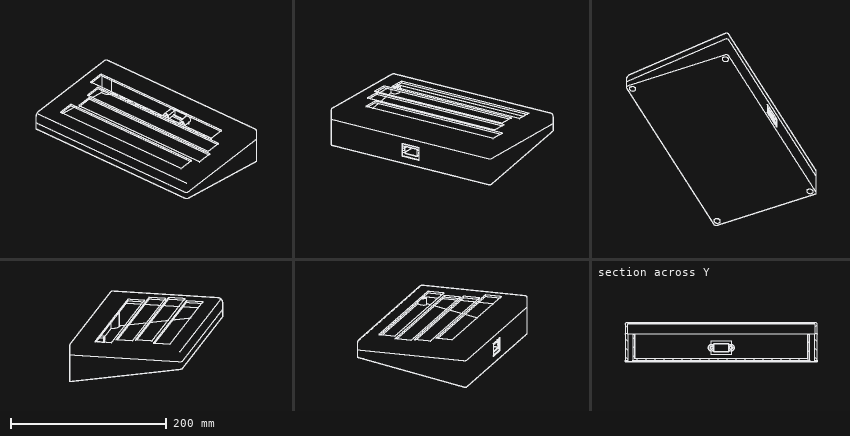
import cadquery as cq
import math

length = 247.5
depth = 148.5
height = 51.5
bottom_tilt = 10.0
lid_height = 15.3
wall = 3.0
floor_thickness = 3.0
top_thickness = 2.5
edge_radius = 3.0
front_radius = 7.0

slot_length = 197.0
slot_width = 21.8
slot_corners = [(-108.0, 22.0), (-93.8, -2.7), (-88.9, -27.2), (-98.8, -53.0)]

post_diameter = 12.4
post_inset = 6.7
post_hole_diameter = 8.0

window_width = 18.8
window_height = 10.0
window_below_top = 33.2
window_web = 1.2
pocket_margin = 3.7
boss_spacing = 25.2
boss_diameter = 8.7
boss_length = 12.9
boss_hole_diameter = 3.7

back_y = depth / 2
inner_back_y = back_y - wall
seam_z = height - lid_height
window_z = height - window_below_top
tilt_slope = math.tan(math.radians(bottom_tilt))
tilt_cosine = math.cos(math.radians(bottom_tilt))
same_place = 0.02


def underside_z(y):
    return (back_y - y) * tilt_slope


def block(x_size, y_size, z_low, z_high):
    """Rectangular block centred on the Z axis."""
    return cq.Workplane("XY").workplane(offset=z_low).rect(x_size, y_size).extrude(z_high - z_low)


def wedge(lift):
    """Full-size wedge whose tilted bottom lies `lift` inside the underside, measured square to it."""
    rise = lift / tilt_cosine
    profile = [
        (back_y, underside_z(back_y) + rise),
        (back_y, height),
        (-back_y, height),
        (-back_y, underside_z(-back_y) + rise),
    ]
    return cq.Workplane("YZ").polyline(profile).close().extrude(length / 2, both=True)


def is_underside_edge(edge):
    middle = edge.Center()
    return math.isclose(middle.z, underside_z(middle.y), abs_tol=same_place)


def make_envelope():
    """Outer shape: large round along the front top edge, small rounds on all edges but the underside."""
    body = wedge(0).faces("<Y").edges(">Z").fillet(front_radius)
    rounded = body.faces("<X or >X or >Y").edges().filter(lambda edge: not is_underside_edge(edge))
    return rounded.fillet(edge_radius)


def make_cavity():
    inside = block(length - 2 * wall, depth - 2 * wall, 0, height - top_thickness)
    return inside.intersect(wedge(floor_thickness))


def make_lid(envelope, cavity):
    lid = envelope.intersect(block(length, depth, seam_z, height)).cut(cavity)
    for left, front in slot_corners:
        slot = cq.Workplane("XY").box(slot_length, slot_width, lid_height, centered=False)
        lid = lid.cut(slot.translate((left, front, seam_z)))
    return lid


def corner_cylinders(diameter):
    """Vertical cylinders from Z = 0 to the seam, on the screw axis of each corner."""
    corners = cq.Workplane("XY").rect(length - 2 * post_inset, depth - 2 * post_inset, forConstruction=True)
    return corners.vertices().circle(diameter / 2).extrude(seam_z)


def boss_cylinders(diameter, reach):
    """Horizontal cylinders on the boss axes, from the boss ends toward the back wall."""
    plane = cq.Workplane("XZ", origin=(0, inner_back_y - boss_length, window_z))
    axes = plane.pushPoints([(-boss_spacing / 2, 0), (boss_spacing / 2, 0)])
    return axes.circle(diameter / 2).extrude(-reach)


def back_opening(width, opening_height, reach):
    """Rectangular cutter that reaches inward from the outer back face."""
    cutter = cq.Workplane("XY").box(width, reach, opening_height)
    return cutter.translate((0, back_y - reach / 2, window_z))


def make_base(envelope, cavity):
    base = envelope.intersect(block(length, depth, 0, seam_z)).cut(cavity)

    base = base.union(corner_cylinders(post_diameter).intersect(envelope))
    base = base.cut(corner_cylinders(post_hole_diameter))

    base = base.union(boss_cylinders(boss_diameter, boss_length + (wall - window_web) / 2))
    base = base.cut(boss_cylinders(boss_hole_diameter, boss_length))

    base = base.cut(back_opening(window_width, window_height, wall + boss_length))

    pocket_width = window_width + 2 * pocket_margin
    pocket_height = window_height + 2 * pocket_margin
    return base.cut(back_opening(pocket_width, pocket_height, wall - window_web))


envelope = make_envelope()
cavity = make_cavity()
lid = make_lid(envelope, cavity)
base = make_base(envelope, cavity)

result = cq.Compound.makeCompound([lid.val(), base.val()])